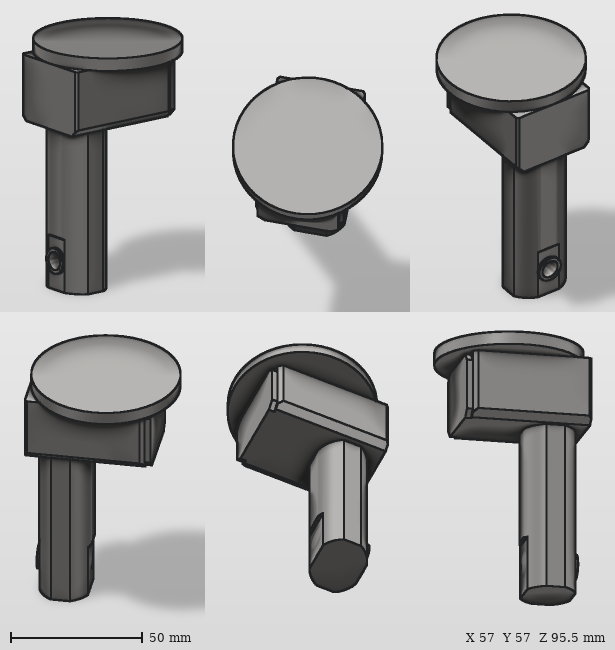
import cadquery as cq
import math

total_height = 95.5
disc_diameter = 57.0
disc_thickness = 5.0

block_width = 34.0
block_length = 46.3
block_height = 26.0
block_bottom_chamfer = 3.0
front_edge_chamfer = 1.0
rear_chamfer_length = 1.8
rear_chamfer_inset = 1.3

pad_thickness = 2.3
pad_corner_chamfer = 3.0
pad_top_gap = 0.7

shaft_width = 24.1
shaft_depth = 20.3
shaft_flat_width = 7.4
shaft_arc_radius = 12.9
shaft_front_setback = 3.2
side_flat_offset = 0.4

cut_height = 20.9
ledge_rise = 0.4
front_cut_depth = 0.32
rear_cut_depth = 1.0

bolt_height = 11.7
collar_diameter = 10.0
collar_projection = 1.05
hole_mouth_diameter = 7.1
hole_floor_diameter = 5.4
hole_depth = 6.7
dome_rise = 0.72

disc_bottom = total_height - disc_thickness
block_bottom = disc_bottom - block_height
block_front = -disc_diameter / 2
block_rear = block_front + block_length
shaft_front = block_front + shaft_front_setback
shaft_center = shaft_front + shaft_depth / 2
front_cut_face = shaft_front + front_cut_depth
rear_cut_face = shaft_front + shaft_depth - rear_cut_depth


def make_disc():
    return cq.Workplane("XY", origin=(0, 0, disc_bottom)).circle(disc_diameter / 2).extrude(disc_thickness)


def make_block():
    half = block_width / 2
    front_half = half - front_edge_chamfer
    rear_half = half - rear_chamfer_inset
    front_shoulder = block_front + front_edge_chamfer
    rear_shoulder = block_rear - rear_chamfer_length
    plan = (
        cq.Workplane("XY", origin=(0, 0, block_bottom))
        .moveTo(-front_half, block_front)
        .lineTo(front_half, block_front)
        .lineTo(half, front_shoulder)
        .lineTo(half, rear_shoulder)
        .lineTo(rear_half, block_rear)
        .lineTo(-rear_half, block_rear)
        .lineTo(-half, rear_shoulder)
        .lineTo(-half, front_shoulder)
        .close()
        .extrude(block_height)
    )
    envelope = (
        cq.Workplane("XY")
        .box(block_width, block_length, block_height, centered=(True, False, False))
        .edges("|Y and <Z")
        .chamfer(block_bottom_chamfer)
        .translate((0, block_front, block_bottom))
    )
    return plan.intersect(envelope)


def make_pad():
    width = block_width - 2 * rear_chamfer_inset
    return (
        cq.Workplane("XY")
        .box(width, pad_thickness, block_height - pad_top_gap, centered=(True, False, False))
        .edges("|Y")
        .chamfer(pad_corner_chamfer)
        .translate((0, block_rear, block_bottom))
    )


def make_shaft():
    x = shaft_width / 2
    y = shaft_depth / 2
    flat = shaft_flat_width / 2
    side_front = -flat - side_flat_offset
    side_rear = flat - side_flat_offset
    return (
        cq.Workplane("XY", origin=(0, shaft_center, 0))
        .moveTo(-flat, -y)
        .lineTo(flat, -y)
        .radiusArc((x, side_front), -shaft_arc_radius)
        .lineTo(x, side_rear)
        .radiusArc((flat, y), -shaft_arc_radius)
        .lineTo(-flat, y)
        .radiusArc((-x, side_rear), -shaft_arc_radius)
        .lineTo(-x, side_front)
        .radiusArc((-flat, -y), -shaft_arc_radius)
        .close()
        .extrude(block_bottom)
    )


def make_foot_cut(cut_face, outer_face):
    return (
        cq.Workplane("YZ")
        .moveTo(cut_face, 0)
        .lineTo(outer_face, 0)
        .lineTo(outer_face, cut_height + ledge_rise)
        .lineTo(cut_face, cut_height)
        .close()
        .extrude(shaft_width / 2, both=True)
    )


def make_collar():
    return (
        cq.Workplane("XZ", origin=(0, front_cut_face, bolt_height))
        .circle(collar_diameter / 2)
        .extrude(collar_projection)
    )


def make_bolt_hole():
    mouth = front_cut_face - collar_projection
    return (
        cq.Workplane("XY", origin=(0, 0, bolt_height))
        .moveTo(0, mouth)
        .lineTo(hole_mouth_diameter / 2, mouth)
        .lineTo(hole_floor_diameter / 2, mouth + hole_depth)
        .lineTo(0, mouth + hole_depth)
        .close()
        .revolve(360, (0, 0, 0), (0, 1, 0))
    )


def make_bolt_dome():
    radius = collar_diameter / 2
    sphere_radius = (radius**2 + dome_rise**2) / (2 * dome_rise)
    half_angle = math.asin(radius / sphere_radius) / 2
    arc_middle = (
        sphere_radius * math.sin(half_angle),
        rear_cut_face + dome_rise - sphere_radius * (1 - math.cos(half_angle)),
    )
    return (
        cq.Workplane("XY", origin=(0, 0, bolt_height))
        .moveTo(0, rear_cut_face)
        .lineTo(radius, rear_cut_face)
        .threePointArc(arc_middle, (0, rear_cut_face + dome_rise))
        .close()
        .revolve(360, (0, 0, 0), (0, 1, 0))
    )


shaft = (
    make_shaft()
    .cut(make_foot_cut(front_cut_face, shaft_front))
    .cut(make_foot_cut(rear_cut_face, shaft_front + shaft_depth))
    .union(make_collar())
    .union(make_bolt_dome())
    .cut(make_bolt_hole())
)

result = make_disc().union(make_block()).union(make_pad()).union(shaft)